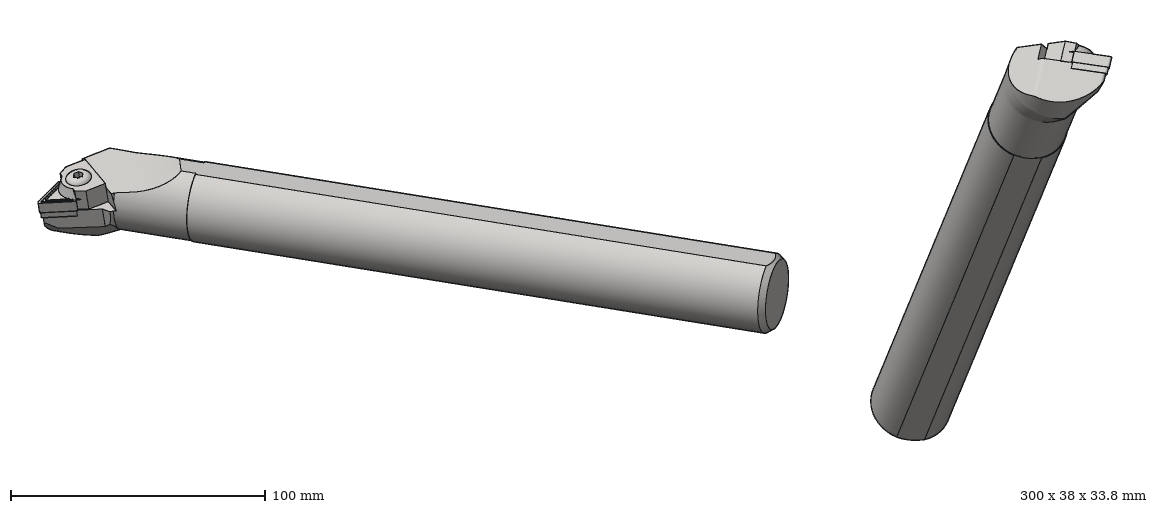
import cadquery as cq
import math

overall_length = 300.0
shank_radius = 16.0
flat_height = 15.0
shank_start = 60.0
end_chamfer_length = 2.6
end_chamfer_depth = 1.9

neck_radius = 15.7
neck_start = 29.5
head_radius = 18.84
head_axis_y = -3.1
head_full_end = 20.0
head_overrun = 5.0

tip_reach = 22.0
slope_x = 0.07
slope_y = 0.20
bisector_angle = math.radians(43)

insert_side = 16.5
insert_thickness = 4.76
insert_corner = 0.8
groove_inset = 1.0
groove_width = 1.0
groove_depth = 0.3
shim_thickness = 2.7
shim_inset = 0.2

nose_inset = 0.5
nose_corner = 1.0
back_face_offset = 13.2
back_corner = 4.0
relief_length = 22.5
relief_flare = 2.0
pocket_wall = 26.5

ramp_height = 2.0
ramp_bend = (23.0, 37.0, 49.0)
ramp_start = -2.0
ramp_end = 65.0
ramp_rise = 11.2

facet_angle = math.radians(45)
facet_slope = 0.233
facet_clearance = 0.1

clamp_half_width = 9.4
clamp_top = 4.3
clamp_front_half_width = 6.8
clamp_shoulder = 18.0
clamp_nose_radius = 8.6
clamp_nose_top_radius = 7.0
screw_distance = 19.2
screw_radius = 5.4
screw_top = 5.8
screw_rounding = 2.6
socket_across_corners = 4.0
socket_depth = 3.0

far = 120.0

half_tip = math.radians(30)
insert_length = insert_side * math.cos(half_tip)
corner_pullback = insert_corner / math.sin(half_tip)
tip_x = insert_corner - corner_pullback * math.cos(bisector_angle)
tip_y = insert_corner - tip_reach - corner_pullback * math.sin(bisector_angle)


def seat_plane(angle):
    """Tilted plane through the tip, with its x axis at the given angle from X seen from above."""
    dx = math.cos(angle)
    dy = math.sin(angle)
    return cq.Plane(
        origin=(tip_x, tip_y, 0),
        xDir=(dx, dy, slope_x * dx + slope_y * dy),
        normal=(-slope_x, -slope_y, 1),
    )


seat_frame = seat_plane(bisector_angle)
along_seat_normal = cq.selectors.ParallelDirSelector(seat_frame.zDir)
highest_on_seat = cq.selectors.DirectionMinMaxSelector(seat_frame.zDir, True)


def nearest_to(x, y):
    """Selector for the item nearest to a point of the seat frame."""
    return cq.selectors.NearestToPointSelector(seat_frame.toWorldCoords((x, y, 0)))


def seat(height=0.0):
    """Workplane parallel to the insert face at a height above it."""
    return cq.Workplane(seat_frame).workplane(offset=height)


def triangle(inset, bottom, top, corner):
    """Triangular prism that follows the insert outline, moved inward by inset."""
    tip = inset / math.sin(half_tip)
    base = insert_length - inset
    half_base = (base - tip) * math.tan(half_tip)
    prism = (
        seat(bottom)
        .polyline([(tip, 0), (base, -half_base), (base, half_base)])
        .close()
        .extrude(top - bottom)
    )
    if corner > 0:
        prism = prism.edges(along_seat_normal).fillet(corner)
    return prism


def bar_cylinder(start, end, radius, axis_y=0.0):
    return cq.Workplane("YZ", origin=(start, axis_y, 0)).circle(radius).extrude(end - start)


def make_shank():
    shank = (
        bar_cylinder(shank_start, overall_length, shank_radius)
        .faces(">X")
        .chamfer(end_chamfer_length, end_chamfer_depth)
    )
    length = overall_length - shank_start
    slab = cq.Workplane("XY").box(length, 2 * shank_radius, 2 * flat_height)
    return shank.intersect(slab.translate((shank_start + length / 2, 0, 0)))


def make_head_blank():
    """Swollen front end, its taper and the round neck, with the top flat."""
    swelling = bar_cylinder(-head_overrun, head_full_end, head_radius, head_axis_y)
    taper = (
        cq.Workplane("YZ", origin=(head_full_end, 0, 0))
        .center(head_axis_y, 0)
        .circle(head_radius)
        .workplane(offset=neck_start - head_full_end)
        .center(-head_axis_y, 0)
        .circle(neck_radius)
        .loft(ruled=True)
    )
    neck = bar_cylinder(neck_start, shank_start, neck_radius)
    top_cut = cq.Workplane("XY", origin=(0, 0, flat_height)).rect(2 * far, 2 * far).extrude(far)
    return swelling.union(taper).union(neck).cut(top_cut)


def head_outline():
    """Prism that trims the head below the insert edges and along the flat back."""
    tan_half = math.tan(half_tip)
    tip = nose_inset / math.sin(half_tip)
    back = tip + back_face_offset / tan_half
    relief = -(relief_length - tip) * tan_half
    outline = (
        seat(-far)
        .polyline([
            (tip, 0),
            (relief_length, relief),
            (pocket_wall, relief - relief_flare * (pocket_wall - relief_length)),
            (pocket_wall, -far),
            (far, -far),
            (far, back_face_offset),
            (back, back_face_offset),
        ])
        .close()
        .extrude(2 * far)
    )
    outline = outline.edges(along_seat_normal).edges(nearest_to(tip, 0)).fillet(nose_corner)
    return outline.edges(along_seat_normal).edges(nearest_to(back, back_face_offset)).fillet(back_corner)


def ramp_cut():
    """Material above the sloped top of the head, which curves upward toward the shank."""
    along_x = seat_plane(0)
    side = cq.Plane(origin=along_x.origin, xDir=along_x.xDir, normal=-along_x.yDir)
    ramp_top = ramp_height + ramp_rise
    bend_points = [(x, ramp_height) for x in ramp_bend]
    return (
        cq.Workplane(side)
        .moveTo(-far, ramp_height)
        .lineTo(ramp_start, ramp_height)
        .bezier([(ramp_start, ramp_height), *bend_points, (ramp_end, ramp_top)])
        .lineTo(ramp_end, far)
        .lineTo(-far, far)
        .close()
        .extrude(far, both=True)
    )


def facet_cut():
    """Material outside the flat facet that runs from the insert seat back to the neck."""
    reach = neck_radius + facet_clearance
    side = -math.sin(facet_angle)
    down = -math.cos(facet_angle)
    facet = cq.Plane(
        origin=(neck_start, reach * side, reach * down),
        normal=(facet_slope, side, down),
    )
    outside = cq.Workplane(facet).rect(2 * far, 2 * far).extrude(far)
    ahead_of_neck = cq.Workplane("YZ", origin=(neck_start, 0, 0)).rect(2 * far, 2 * far).extrude(-far)
    return outside.intersect(ahead_of_neck)


def pocket_cut():
    return seat(-insert_thickness).center(pocket_wall - far / 2, 0).rect(far, 2 * far).extrude(far)


def make_clamp():
    """Wedge clamp with a tapered round nose over the insert and a domed socket screw."""
    block = (
        seat(-insert_thickness)
        .polyline([
            (insert_length, -clamp_front_half_width),
            (clamp_shoulder, -clamp_half_width),
            (pocket_wall, -clamp_half_width),
            (pocket_wall, clamp_half_width),
            (clamp_shoulder, clamp_half_width),
            (insert_length, clamp_front_half_width),
        ])
        .close()
        .extrude(insert_thickness + clamp_top)
    )
    nose = (
        seat()
        .center(screw_distance, 0)
        .circle(clamp_nose_radius)
        .workplane(offset=clamp_top)
        .circle(clamp_nose_top_radius)
        .loft()
    )
    beyond_wall = seat().center(pocket_wall + far / 2, 0).rect(far, far).extrude(far)
    screw = (
        seat()
        .center(screw_distance, 0)
        .circle(screw_radius)
        .extrude(screw_top)
        .edges(highest_on_seat)
        .fillet(screw_rounding)
    )
    socket = (
        seat(screw_top - socket_depth)
        .center(screw_distance, 0)
        .polygon(6, socket_across_corners)
        .extrude(far)
    )
    return block.union(nose.cut(beyond_wall)).union(screw).cut(socket)


def make_holder():
    """Shank, head, shim and clamp as one solid."""
    head = make_head_blank().cut(facet_cut()).intersect(head_outline())
    head = head.cut(ramp_cut()).cut(pocket_cut())
    shim_bottom = -insert_thickness - shim_thickness
    shim = triangle(shim_inset, shim_bottom, -insert_thickness, insert_corner)
    return make_shank().union(head).union(shim).union(make_clamp())


def make_insert():
    """Triangular cutting insert with a chip groove around its top face."""
    body = triangle(0, -insert_thickness, 0, insert_corner)
    groove = triangle(groove_inset, -groove_depth, groove_depth, 0)
    island = triangle(groove_inset + groove_width, -groove_depth, groove_depth, 0)
    return body.cut(groove.cut(island))


holder = make_holder()
insert = make_insert()

result = cq.Compound.makeCompound([holder.solids().val(), insert.solids().val()])